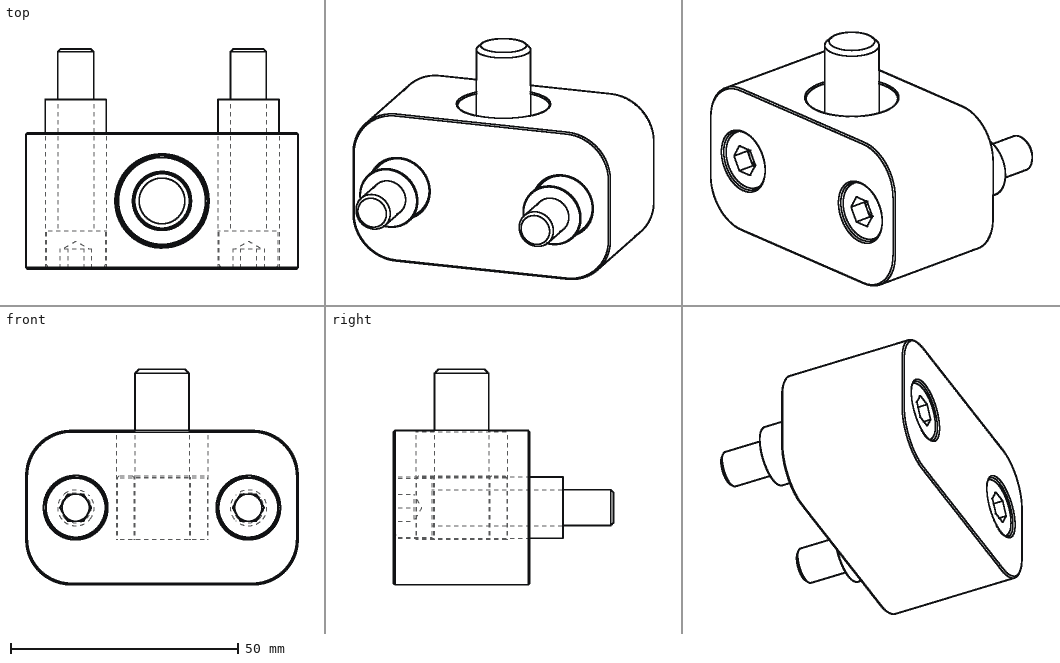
import cadquery as cq
import math


LENGTH = 60.0
DEPTH = 30.0
HEIGHT = 34.0
CORNER_RADIUS = 10.0
EDGE_CHAMFER = 0.35
BORE_DIAMETER = 20.15
BORE_DEPTH = 24.0
BORE_CHAMFER = 0.3

RING_DIAMETER = 19.85
RING_RECESS = 10.0
RING_CHAMFER = 0.35
RING_HOLE_DIAMETER = 12.4
RING_HOLE_CHAMFER = 0.3
PIN_DIAMETER = 12.0
PIN_PROJECTION = 13.5
PIN_CHAMFER = 0.95

SCREW_SPACING = 38.05
SHANK_DIAMETER = 8.0
SHANK_PROJECTION = 11.05
SHANK_CHAMFER = 0.65
HEAD_DIAMETER = 13.0
HEAD_HEIGHT = 8.0
HEAD_RECESS = 0.4
HEAD_FILLET = 0.8
SOCKET_WIDTH = 6.0
SOCKET_DEPTH = 4.0
SOCKET_CONE_ANGLE = 120.0
BUSHING_DIAMETER = 13.5
BUSHING_PROJECTION = 7.45
BUSHING_CHAMFER = 0.2

FRONT = -DEPTH / 2
BACK = DEPTH / 2
TOP = HEIGHT / 2
BORE_FLOOR = TOP - BORE_DEPTH
RING_TOP = TOP - RING_RECESS
PIN_TOP = TOP + PIN_PROJECTION
HEAD_FACE = FRONT + HEAD_RECESS
HEAD_SEAT = HEAD_FACE + HEAD_HEIGHT
BUSHING_END = BACK + BUSHING_PROJECTION
SHANK_END = BUSHING_END + SHANK_PROJECTION
SCREW_POSITIONS = [-SCREW_SPACING / 2, SCREW_SPACING / 2]


def rod_y(diameter, y_start, y_end, x=0.0):
    """Cylinder along +Y at the given X, from y_start to y_end."""
    return (
        cq.Workplane("XZ", origin=(x, y_start, 0))
        .circle(diameter / 2)
        .extrude(y_start - y_end)
    )


def rod_z(diameter, z_start, z_end):
    """Cylinder along +Z on the pin axis, from z_start to z_end."""
    return cq.Workplane("XY", origin=(0, 0, z_start)).circle(diameter / 2).extrude(z_end - z_start)


def make_housing():
    """Rounded block with a blind bore from above and two through bores from front to back."""
    block = (
        cq.Workplane("XZ", origin=(0, FRONT, 0))
        .rect(LENGTH, HEIGHT)
        .extrude(-DEPTH)
        .edges("|Y")
        .fillet(CORNER_RADIUS)
    )
    block = block.cut(rod_z(BORE_DIAMETER, BORE_FLOOR, TOP))
    for x in SCREW_POSITIONS:
        block = block.cut(rod_y(BUSHING_DIAMETER, FRONT, BACK, x))
    block = block.faces("<Y or >Y").chamfer(EDGE_CHAMFER)
    return block.faces(">Z").edges("%CIRCLE").chamfer(BORE_CHAMFER)


def make_guide_ring():
    """Ring seated on the floor of the housing bore, with the centre pin through it."""
    ring = rod_z(RING_DIAMETER, BORE_FLOOR, RING_TOP).faces(">Z").chamfer(RING_CHAMFER)
    ring = ring.cut(rod_z(RING_HOLE_DIAMETER, BORE_FLOOR, RING_TOP))
    hole_rim = ring.faces(">Z").edges(cq.selectors.RadiusNthSelector(0))
    return hole_rim.chamfer(RING_HOLE_CHAMFER)


def make_centre_pin():
    """Plain pin that stands on the bore floor and rises out of the housing."""
    return rod_z(PIN_DIAMETER, BORE_FLOOR, PIN_TOP).faces(">Z").chamfer(PIN_CHAMFER)


def make_socket(x):
    """Hexagonal screw socket that ends in a drill-point cone."""
    across_corners = SOCKET_WIDTH / math.cos(math.radians(30))
    hexagon = (
        cq.Workplane("XZ", origin=(x, HEAD_FACE, 0))
        .polygon(6, across_corners)
        .extrude(-SOCKET_DEPTH)
    )
    cone_height = SOCKET_WIDTH / 2 / math.tan(math.radians(SOCKET_CONE_ANGLE / 2))
    cone = cq.Solid.makeCone(
        SOCKET_WIDTH / 2,
        0,
        cone_height,
        pnt=cq.Vector(x, HEAD_FACE + SOCKET_DEPTH, 0),
        dir=cq.Vector(0, 1, 0),
    )
    return hexagon.union(cq.Workplane(cone))


def make_screw(x):
    """Socket head screw whose shank reaches out behind its bushing."""
    head = rod_y(HEAD_DIAMETER, HEAD_FACE, HEAD_SEAT, x).faces("<Y").edges().fillet(HEAD_FILLET)
    shank = rod_y(SHANK_DIAMETER, HEAD_SEAT, SHANK_END, x).faces(">Y").chamfer(SHANK_CHAMFER)
    return head.union(shank).cut(make_socket(x))


def make_bushing(x):
    """Centring bushing between the screw head and its protruding end."""
    sleeve = rod_y(BUSHING_DIAMETER, HEAD_SEAT, BUSHING_END, x).faces(">Y").chamfer(BUSHING_CHAMFER)
    return sleeve.cut(rod_y(SHANK_DIAMETER, HEAD_SEAT, BUSHING_END, x))


housing = make_housing()
guide_ring = make_guide_ring()
centre_pin = make_centre_pin()
screws = [make_screw(x).val() for x in SCREW_POSITIONS]
bushings = [make_bushing(x).val() for x in SCREW_POSITIONS]

result = cq.Compound.makeCompound(
    [housing.val(), guide_ring.val(), centre_pin.val(), *screws, *bushings]
)